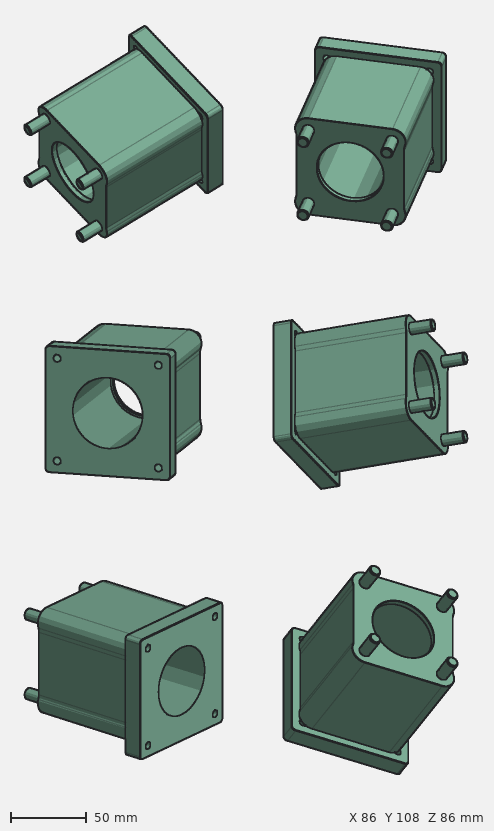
import cadquery as cq
import math

total_length = 108.0
flange_thickness = 13.0
pin_length = 16.0
body_length = total_length - flange_thickness - pin_length

flange_size = 86.0
flange_corner_radius = 2.8
flange_edge_chamfer = 0.4
screw_hole_diameter = 5.0
screw_hole_spacing = 69.5

body_size = 75.2
lobe_radius = 9.2
side_recess = 1.0
blend_radius = 10.0
body_edge_chamfer = 0.3

pin_diameter = 8.0
pin_tip_chamfer = 0.8
pin_spacing = body_size - 2 * lobe_radius

bore_diameter = 48.0
lip_diameter = 45.0
lip_length = 4.0
lip_chamfer = 0.3


def plane_at(y):
    """XZ plane at the given Y whose extrusions run towards -Y."""
    return cq.Workplane("XZ", origin=(0, y, 0))


def body_outline(workplane):
    """Corner lobes joined by flat top and bottom and recessed sides."""
    half = body_size / 2
    lobe = pin_spacing / 2
    side = half - side_recess
    blend_x = side + blend_radius
    centre_distance = lobe_radius + blend_radius
    angle = math.acos((blend_x - lobe) / centre_distance)
    blend_z = lobe - centre_distance * math.sin(angle)
    touch_x = lobe + lobe_radius * math.cos(angle)
    touch_z = lobe - lobe_radius * math.sin(angle)
    lobe_mid_angle = (math.pi / 2 - angle) / 2
    lobe_mid_x = lobe + lobe_radius * math.cos(lobe_mid_angle)
    lobe_mid_z = lobe + lobe_radius * math.sin(lobe_mid_angle)
    blend_mid_x = blend_x - blend_radius * math.cos(angle / 2)
    blend_mid_z = blend_z + blend_radius * math.sin(angle / 2)
    return (
        workplane.moveTo(-lobe, half)
        .lineTo(lobe, half)
        .threePointArc((lobe_mid_x, lobe_mid_z), (touch_x, touch_z))
        .threePointArc((blend_mid_x, blend_mid_z), (side, blend_z))
        .lineTo(side, -blend_z)
        .threePointArc((blend_mid_x, -blend_mid_z), (touch_x, -touch_z))
        .threePointArc((lobe_mid_x, -lobe_mid_z), (lobe, -half))
        .lineTo(-lobe, -half)
        .threePointArc((-lobe_mid_x, -lobe_mid_z), (-touch_x, -touch_z))
        .threePointArc((-blend_mid_x, -blend_mid_z), (-side, -blend_z))
        .lineTo(-side, blend_z)
        .threePointArc((-blend_mid_x, blend_mid_z), (-touch_x, touch_z))
        .threePointArc((-lobe_mid_x, lobe_mid_z), (-lobe, half))
        .close()
    )


def make_body():
    body = body_outline(plane_at(0)).extrude(-body_length)
    return body.faces("<Y").chamfer(body_edge_chamfer)


def make_flange():
    flange = (
        plane_at(body_length)
        .rect(flange_size, flange_size)
        .extrude(-flange_thickness)
        .edges("|Y")
        .fillet(flange_corner_radius)
    )
    return flange.faces("<Y or >Y").chamfer(flange_edge_chamfer)


def make_pins():
    pins = (
        plane_at(0)
        .rect(pin_spacing, pin_spacing, forConstruction=True)
        .vertices()
        .circle(pin_diameter / 2)
        .extrude(pin_length)
    )
    return pins.faces("<Y").chamfer(pin_tip_chamfer)


def make_screw_holes():
    """Cutters through the flange only, partly covered by the body corners."""
    return (
        plane_at(body_length)
        .rect(screw_hole_spacing, screw_hole_spacing, forConstruction=True)
        .vertices()
        .circle(screw_hole_diameter / 2)
        .extrude(-flange_thickness)
    )


def make_bore():
    lip_opening = plane_at(0).circle(lip_diameter / 2).extrude(-lip_length)
    bore = (
        plane_at(lip_length)
        .circle(bore_diameter / 2)
        .extrude(-(body_length + flange_thickness - lip_length))
    )
    lip_bevel = cq.Workplane("XY").add(
        cq.Solid.makeCone(
            lip_diameter / 2 + lip_chamfer,
            lip_diameter / 2,
            lip_chamfer,
            pnt=cq.Vector(0, 0, 0),
            dir=cq.Vector(0, 1, 0),
        )
    )
    return bore.union(lip_opening).union(lip_bevel)


result = (
    make_body()
    .union(make_flange())
    .union(make_pins())
    .cut(make_screw_holes())
    .cut(make_bore())
)